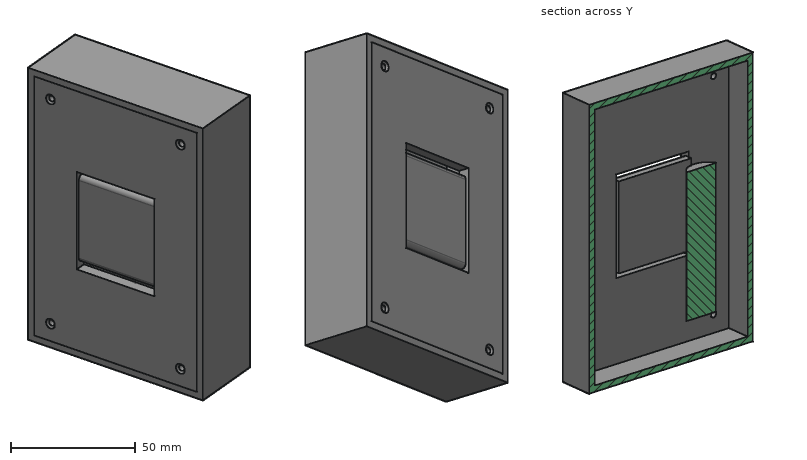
import cadquery as cq

WIDTH = 86.0
DEPTH = 33.0
HEIGHT = 126.0
WALL = 3.0
FRONT_Y = -DEPTH / 2
BACK_WALL_Y = DEPTH / 2 - WALL

LID_WIDTH = WIDTH - 2 * WALL
LID_HEIGHT = HEIGHT - 2 * WALL
LID_THICKNESS = 5.0
WINDOW_WIDTH = 38.0
WINDOW_HEIGHT = 45.1

SCREW_INSET = 8.1
SCREW_DIAMETER = 2.6
COUNTERSINK_DIAMETER = 4.4
COUNTERSINK_ANGLE = 90

DISPLAY_HEIGHT = 40.1
DISPLAY_THICKNESS = 5.0
DISPLAY_RECESS = 1.5
DISPLAY_EDGE_RADIUS = 2.0

BATTERY_DIAMETER = 18.0
BATTERY_X = -15.9
BATTERY_TOP_Z = DISPLAY_HEIGHT / 2
BATTERY_LENGTH = 65.0


def block(width, depth, height, front_y):
    """Box centred on X and Z whose front face lies at front_y."""
    return cq.Workplane("XY").box(width, depth, height).translate((0, front_y + depth / 2, 0))


def make_housing():
    shell = block(WIDTH, DEPTH, HEIGHT, FRONT_Y)
    cavity = block(LID_WIDTH, DEPTH - WALL, LID_HEIGHT, FRONT_Y)
    return shell.cut(cavity)


def make_lid():
    plate = block(LID_WIDTH, LID_THICKNESS, LID_HEIGHT, FRONT_Y)
    window = block(WINDOW_WIDTH, LID_THICKNESS, WINDOW_HEIGHT, FRONT_Y)
    return (
        plate.faces("<Y").workplane(centerOption="CenterOfBoundBox")
        .rect(LID_WIDTH - 2 * SCREW_INSET, LID_HEIGHT - 2 * SCREW_INSET, forConstruction=True)
        .vertices()
        .cskHole(SCREW_DIAMETER, COUNTERSINK_DIAMETER, COUNTERSINK_ANGLE)
        .cut(window)
    )


def make_display():
    display = block(WINDOW_WIDTH, DISPLAY_THICKNESS, DISPLAY_HEIGHT, FRONT_Y + DISPLAY_RECESS)
    return display.faces("<Y").edges("|X").fillet(DISPLAY_EDGE_RADIUS)


def make_battery():
    battery_y = BACK_WALL_Y - BATTERY_DIAMETER / 2
    return (
        cq.Workplane("XY", origin=(BATTERY_X, battery_y, BATTERY_TOP_Z - BATTERY_LENGTH))
        .circle(BATTERY_DIAMETER / 2)
        .extrude(BATTERY_LENGTH)
    )


housing = make_housing()
lid = make_lid()
display = make_display()
battery = make_battery()

result = cq.Compound.makeCompound([housing.val(), lid.val(), display.val(), battery.val()])